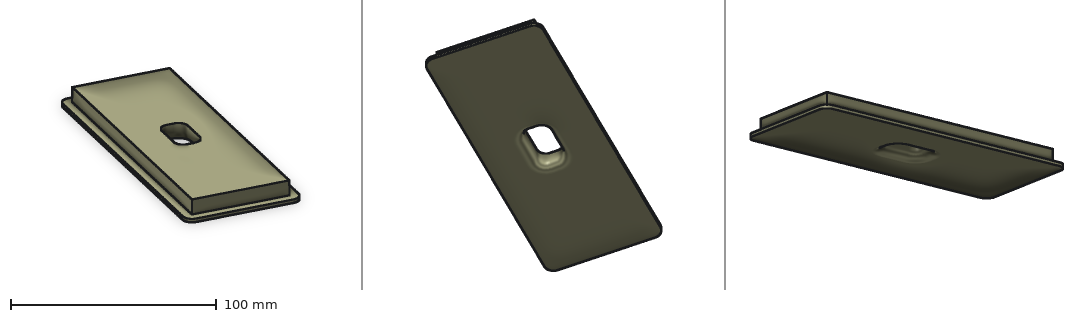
import cadquery as cq

flange_length = 150.0
flange_width = 62.0
flange_thickness = 2.0
flange_corner_radius = 5.0

total_height = 10.0
block_inset = 5.0
block_length = flange_length - 2 * block_inset
block_width = flange_width - 2 * block_inset
block_height = total_height - flange_thickness

window_length = 24.0
window_width = 14.0
window_corner_radius = 5.0
window_flare_radius = 5.0


def rounded_plate(length, width, height, corner_radius):
    """Centred plate standing on Z = 0 with rounded vertical edges."""
    return cq.Workplane("XY").rect(length, width).extrude(height).edges("|Z").fillet(corner_radius)


flange = rounded_plate(flange_length, flange_width, flange_thickness, flange_corner_radius)
block = (
    cq.Workplane("XY", origin=(0, 0, flange_thickness))
    .rect(block_length, block_width)
    .extrude(block_height)
)
window = rounded_plate(window_length, window_width, total_height, window_corner_radius)

plate = flange.union(block).cut(window)

window_reach = cq.selectors.BoxSelector(
    (-window_length, -window_width, -flange_thickness / 2),
    (window_length, window_width, flange_thickness / 2),
)
result = plate.edges(window_reach).fillet(window_flare_radius)